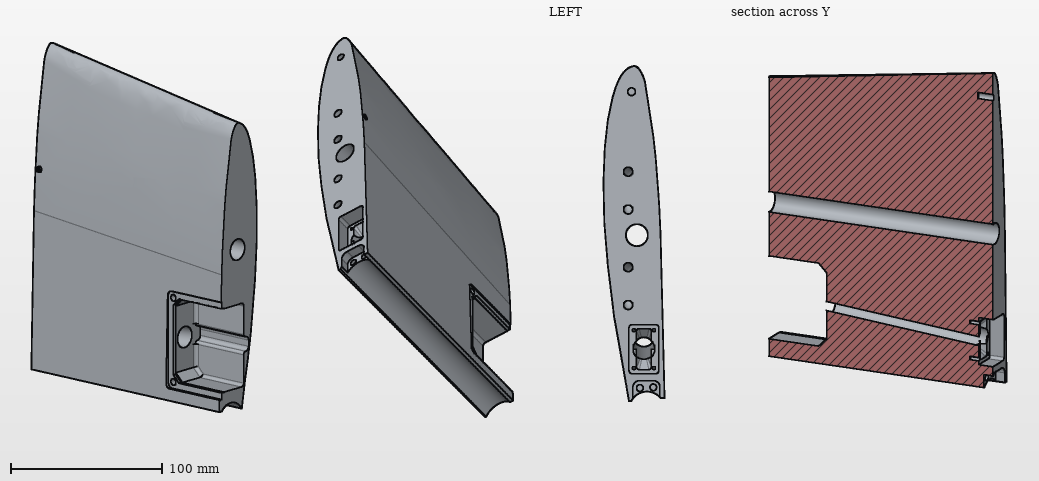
import cadquery as cq
import math


SPAN = 165.0
ROOT_CHORD = 221.5
TIP_CHORD = 196.2
BREAK_ROOT_Z = 110.3
BREAK_TIP_Z = 95.7
TIP_THICKNESS_RATIO = 0.935
SKIRT = 6.6
OVERCUT = 2.2

TIP_CHORD_RATIO = (TIP_CHORD - BREAK_TIP_Z) / (ROOT_CHORD - BREAK_ROOT_Z)

UPPER_SKIN = [
    (22.5, -SKIRT), (26.4, 16.5), (29.0, 31.2), (32.0, 45.8), (34.8, 65.0),
    (37.5, 87.5), (39.6, 112.0), (40.5, 146.6), (39.5, 170.5), (37.0, 189.5),
    (33.9, 202.9), (30.8, 211.5), (26.5, 218.0), (22.5, 220.8),
]
LOWER_SKIN = [
    (22.5, 220.8), (20.0, ROOT_CHORD), (15.7, 217.7), (12.8, 210.5), (10.9, 197.3),
    (7.3, 174.0), (4.9, 148.0), (2.7, BREAK_ROOT_Z),
]
NOSE_DIRECTION = (-1.0, 0.4)

HINGE_GROOVE_RADIUS = 11.7
HINGE_GROOVE_CENTRE = (11.7, -5.5)
LOWER_LIP_Z = 2.0
LOWER_SKIN_END = (0.0, LOWER_LIP_Z)

HINGE_POCKET_Y = (3.0, 21.0)
HINGE_POCKET_TOP = 13.5
HINGE_POCKET_DEPTH = 6.6
HINGE_POCKET_RADIUS = 4.5
HINGE_HOLE_DIAMETER = 4.5
HINGE_HOLE_DEPTH = 6.6
HINGE_HOLES = [(16.5, 8.6), (7.5, 9.0)]

SPAR_DIAMETER = 14.5
SPAR_CENTRE = (18.4, 109.6)

DOWEL_DIAMETER = 5.0
DOWEL_CENTRE = (22.0, 204.5)
DOWEL_DEPTH = 11.0

LOOP_DIAMETER = 6.0
LOOP_PITCH = 25.0
LOOP_Y = 24.1
LOOP_MIDDLES = [139.0, 76.0]

SKIN_HOLE_CENTRE = (3.3, 138.6)
SKIN_HOLE_DIAMETER = 2.2
SKIN_HOLE_DEPTH = 11.0
SKIN_RECESS_DIAMETER = 4.0
SKIN_RECESS_DEPTH = 1.0

BOX_CENTRE = (13.7, 34.3)
BOX_WIDTH = 19.7
BOX_HEIGHT = 32.3
BOX_DEPTH = 10.5
BOX_RADIUS = 2.0
WINDOW_WIDTH = 10.0
WINDOW_HEIGHT = 27.0
WINDOW_RADIUS = 1.8
FUNNEL_LENGTH = 8.9
BOX_SCREW_DIAMETER = 2.0
BOX_SCREW_DEPTH = 6.6
BOX_SCREW_SPACING = (13.3, 25.0)

BAY_MIDDLE_Z = 43.5
REBATE_START_X = 118.0
REBATE_HEIGHT = 66.5
REBATE_FLOOR_Y = 2.7
REBATE_RADIUS = 3.3
BAY_RIM = 4.5
LEDGE_CORNER = 4.9
BAY_CORNER = 5.8
LEDGE_WIDTH = 0.2
LEDGE_DEPTH = 2.2
BAY_FLOOR_Y = 24.5
BAY_FLOOR_RADIUS = 2.2
CHANNEL_FLAT = 4.2
CHANNEL_FOOT_RADIUS = 2.9
CHANNEL_SHOULDER_RADIUS = 2.0
BAY_SCREW_DIAMETER = 4.5
BAY_SCREW_DEPTH = 6.6
CABLE_DIAMETER = 14.5


def tip_point(point):
    """Move a root section point to the tip section."""
    y, z = point
    return (y * TIP_THICKNESS_RATIO, TIP_CHORD - (ROOT_CHORD - z) * TIP_CHORD_RATIO)


def section(x, place):
    """Closed wing outline at span position x; place moves root points onto it."""
    def at(point):
        y, z = place(point)
        return cq.Vector(x, y, z)

    upper = [at(p) for p in UPPER_SKIN]
    lower = [at(p) for p in LOWER_SKIN]
    nose = cq.Vector(0, *NOSE_DIRECTION).normalized()
    break_y, break_z = LOWER_SKIN[-1]
    end_y, end_z = LOWER_SKIN_END
    slope = (break_y - end_y) / (break_z - end_z)
    foot = at((end_y - slope * (end_z + SKIRT), -SKIRT))
    aft = (foot - lower[-1]).normalized()
    rise = (upper[1] - upper[0]).normalized()
    edges = [
        cq.Edge.makeSpline(upper, tangents=[rise, nose], scale=False),
        cq.Edge.makeSpline(lower, tangents=[nose, aft], scale=False),
        cq.Edge.makeLine(lower[-1], foot),
        cq.Edge.makeLine(foot, upper[0]),
    ]
    return cq.Wire.assembleEdges(edges)


def root_plane(x=0.0):
    """Sketch plane facing +X whose local axes are Y and Z."""
    return cq.Workplane("YZ", origin=(x, 0, 0))


def block(x_range, y_range, z_range):
    sizes = [high - low for low, high in (x_range, y_range, z_range)]
    corner = (x_range[0], y_range[0], z_range[0])
    return cq.Workplane("XY").box(*sizes, centered=False).translate(corner)


def rod(start, end, diameter):
    start = cq.Vector(*start)
    axis = cq.Vector(*end) - start
    return cq.Workplane(cq.Solid.makeCylinder(diameter / 2, axis.Length, start, axis))


def wing_body():
    root = section(0, lambda point: point)
    tip = section(SPAN, tip_point)
    return cq.Workplane(cq.Solid.makeLoft([root, tip], True))


def trailing_edge_cut():
    """Trims the skirt, shortens the lower lip and hollows the hinge groove."""
    along = (-OVERCUT, SPAN + OVERCUT)
    groove_y = HINGE_GROOVE_CENTRE[0]
    thickness = (-OVERCUT, ROOT_CHORD)
    skirt = block(along, thickness, (-2 * SKIRT, 0))
    lip = block(along, (-OVERCUT, groove_y), (-2 * SKIRT, LOWER_LIP_Z))
    groove = rod((along[0], *HINGE_GROOVE_CENTRE), (along[1], *HINGE_GROOVE_CENTRE), 2 * HINGE_GROOVE_RADIUS)
    return skirt.union(lip).union(groove)


def hinge_pocket_cut():
    pocket = block((-OVERCUT, HINGE_POCKET_DEPTH), HINGE_POCKET_Y, (0, HINGE_POCKET_TOP))
    pocket = pocket.edges("|X and >Z").fillet(HINGE_POCKET_RADIUS)
    holes = root_plane().pushPoints(HINGE_HOLES).circle(HINGE_HOLE_DIAMETER / 2)
    return pocket.union(holes.extrude(HINGE_POCKET_DEPTH + HINGE_HOLE_DEPTH))


def root_holes_cut():
    spar = root_plane().center(*SPAR_CENTRE).circle(SPAR_DIAMETER / 2).extrude(SPAN)
    dowel = root_plane().center(*DOWEL_CENTRE).circle(DOWEL_DIAMETER / 2).extrude(DOWEL_DEPTH)
    return spar.union(dowel)


def loop_cut(middle_z):
    """U-shaped passage: half a ring whose two mouths open in the root face."""
    ring = cq.Solid.makeTorus(
        LOOP_PITCH / 2, LOOP_DIAMETER / 2, cq.Vector(0, LOOP_Y, middle_z), cq.Vector(0, 1, 0)
    )
    return cq.Workplane(ring)


def skin_hole_cut():
    """Small blind hole with a shallow round recess in the lower skin, near the root."""
    x, z = SKIN_HOLE_CENTRE
    (high_y, high_z), (low_y, low_z) = LOWER_SKIN[-2:]
    skin_y = low_y + (high_y - low_y) * (z - low_z) / (high_z - low_z)
    recess = rod((x, 0, z), (x, skin_y + SKIN_RECESS_DEPTH, z), SKIN_RECESS_DIAMETER)
    return recess.union(rod((x, 0, z), (x, skin_y + SKIN_HOLE_DEPTH, z), SKIN_HOLE_DIAMETER))


def connector_box_cut():
    box = root_plane().center(*BOX_CENTRE).rect(BOX_WIDTH, BOX_HEIGHT).extrude(BOX_DEPTH)
    box = box.edges("|X").fillet(BOX_RADIUS)
    screws = root_plane(BOX_DEPTH).center(*BOX_CENTRE).rect(*BOX_SCREW_SPACING, forConstruction=True)
    screws = screws.vertices().circle(BOX_SCREW_DIAMETER / 2).extrude(BOX_SCREW_DEPTH)
    return box.union(screws)


def funnel_cut():
    """Window in the box floor that blends from a rectangle into a circle."""
    window = cq.Sketch().rect(WINDOW_WIDTH, WINDOW_HEIGHT).vertices().fillet(WINDOW_RADIUS)
    throat = cq.Sketch().circle(WINDOW_WIDTH / 2)
    sections = root_plane(BOX_DEPTH).center(*BOX_CENTRE)
    return sections.placeSketch(window, throat.moved(cq.Location((0, 0, FUNNEL_LENGTH)))).loft()


def bay_outline(margin, corner):
    """Servo bay opening, shrunk by margin, with its two inner corners cut off at 45 degrees."""
    left = REBATE_START_X + BAY_RIM + margin
    half = REBATE_HEIGHT / 2 - BAY_RIM - margin
    right = SPAN + 2 * BAY_FLOOR_RADIUS
    return cq.Workplane("ZX").polyline([
        (BAY_MIDDLE_Z - half, right),
        (BAY_MIDDLE_Z - half, left + corner),
        (BAY_MIDDLE_Z - half + corner, left),
        (BAY_MIDDLE_Z + half - corner, left),
        (BAY_MIDDLE_Z + half, left + corner),
        (BAY_MIDDLE_Z + half, right),
    ]).close()


def bay_channel_cut():
    """Channel along the bay floor with rounded shoulders and feet."""
    start_x = REBATE_START_X + BAY_RIM + LEDGE_WIDTH
    foot = CHANNEL_FLAT / 2
    wall = foot + CHANNEL_FOOT_RADIUS
    mouth = wall + CHANNEL_SHOULDER_RADIUS
    wall_y = BAY_FLOOR_Y + CHANNEL_SHOULDER_RADIUS
    floor_y = wall_y + CHANNEL_FOOT_RADIUS
    diagonal = math.sqrt(0.5)
    shoulder_mid = (
        wall_y - CHANNEL_SHOULDER_RADIUS * diagonal,
        mouth - CHANNEL_SHOULDER_RADIUS * diagonal,
    )
    foot_mid = (wall_y + CHANNEL_FOOT_RADIUS * diagonal, foot + CHANNEL_FOOT_RADIUS * diagonal)
    profile = (
        cq.Workplane("YZ", origin=(start_x, 0, BAY_MIDDLE_Z))
        .moveTo(BAY_FLOOR_Y - OVERCUT, mouth)
        .lineTo(BAY_FLOOR_Y, mouth)
        .threePointArc(shoulder_mid, (wall_y, wall))
        .threePointArc(foot_mid, (floor_y, foot))
        .lineTo(floor_y, -foot)
        .threePointArc((foot_mid[0], -foot_mid[1]), (wall_y, -wall))
        .threePointArc((shoulder_mid[0], -shoulder_mid[1]), (BAY_FLOOR_Y, -mouth))
        .lineTo(BAY_FLOOR_Y - OVERCUT, -mouth)
        .close()
    )
    return profile.extrude(SPAN + OVERCUT - start_x)


def servo_bay_cut():
    half = REBATE_HEIGHT / 2
    rebate = block(
        (REBATE_START_X, SPAN + OVERCUT),
        (-OVERCUT, REBATE_FLOOR_Y),
        (BAY_MIDDLE_Z - half, BAY_MIDDLE_Z + half),
    ).edges("|Y and <X").fillet(REBATE_RADIUS)
    ledge = bay_outline(0, LEDGE_CORNER).extrude(REBATE_FLOOR_Y + LEDGE_DEPTH)
    bay = bay_outline(LEDGE_WIDTH, BAY_CORNER).extrude(BAY_FLOOR_Y)
    bay = bay.faces(">Y").edges().fillet(BAY_FLOOR_RADIUS)
    cut = rebate.union(ledge).union(bay).union(bay_channel_cut())

    screw_x = REBATE_START_X + BAY_RIM
    screw_offset = half - BAY_RIM
    for screw_z in (BAY_MIDDLE_Z - screw_offset, BAY_MIDDLE_Z + screw_offset):
        deep = (screw_x, REBATE_FLOOR_Y + BAY_SCREW_DEPTH, screw_z)
        cut = cut.union(rod((screw_x, 0, screw_z), deep, BAY_SCREW_DIAMETER))
    return cut


def cable_passage_cut():
    """Slanted round passage from the connector box floor to the servo bay."""
    start = (BOX_DEPTH, *BOX_CENTRE)
    end = (REBATE_START_X + BAY_RIM + OVERCUT, BOX_CENTRE[0], BAY_MIDDLE_Z)
    return rod(start, end, CABLE_DIAMETER)


result = wing_body()
cutters = [
    trailing_edge_cut(),
    hinge_pocket_cut(),
    root_holes_cut(),
    skin_hole_cut(),
    connector_box_cut(),
    funnel_cut(),
    servo_bay_cut(),
    cable_passage_cut(),
]
cutters += [loop_cut(middle_z) for middle_z in LOOP_MIDDLES]
for cutter in cutters:
    result = result.cut(cutter)